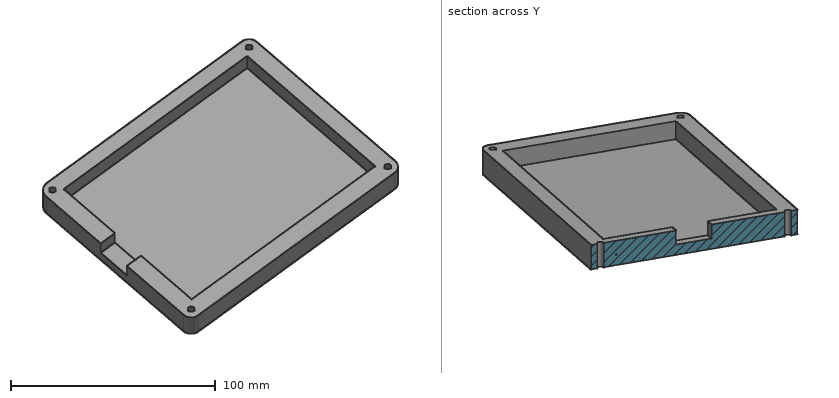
import cadquery as cq

width = 110.3
length = 140.5
height = 13.2
corner_radius = 5.0
large_corner_radius = 6.0

wall_left = 8.4
wall_right = 9.4
wall_end = 9.4
pocket_depth = 9.5
pocket_width = width - wall_left - wall_right
pocket_length = length - 2 * wall_end
pocket_center_x = (wall_left - wall_right) / 2

notch_width = 18.8
notch_depth = 7.5
notch_center_x = -0.3

hole_diameter = 3.4
hole_inset = 5.0


def top_cut(size_x, size_y, depth, center_x, center_y):
    """Rectangular cutter reaching down from the top face."""
    return (
        cq.Workplane("XY")
        .box(size_x, size_y, depth, centered=(True, True, False))
        .translate((center_x, center_y, height - depth))
    )


block = (
    cq.Workplane("XY")
    .box(width, length, height, centered=(True, True, False))
    .edges("|Z and (>X or >Y)")
    .fillet(corner_radius)
    .edges(cq.selectors.NearestToPointSelector((-width / 2, -length / 2, height / 2)))
    .fillet(large_corner_radius)
)

pocket = top_cut(pocket_width, pocket_length, pocket_depth, pocket_center_x, 0)

notch_center_y = (wall_end - length) / 2
notch = top_cut(notch_width, wall_end, notch_depth, notch_center_x, notch_center_y)

screw_holes = (
    cq.Workplane("XY")
    .rect(width - 2 * hole_inset, length - 2 * hole_inset, forConstruction=True)
    .vertices()
    .circle(hole_diameter / 2)
    .extrude(height)
)

result = block.cut(pocket).cut(notch).cut(screw_holes)